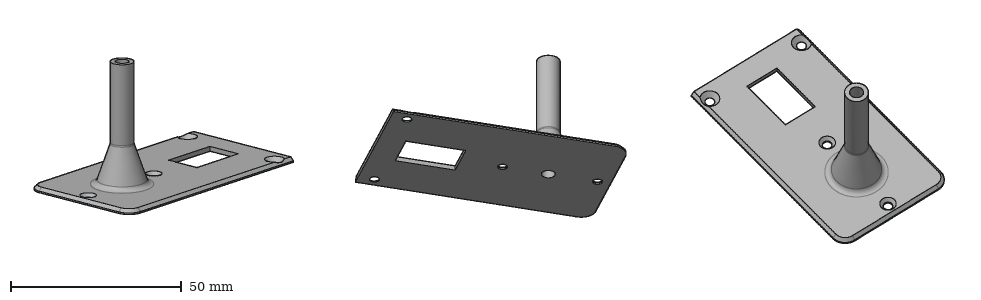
import cadquery as cq
import math

PLATE_WIDTH = 40.0
PLATE_LENGTH = 72.0
PLATE_THICKNESS = 1.5
CORNER_RADIUS = 4.5
EDGE_CHAMFER = 1.0
FRONT_Y = -PLATE_LENGTH / 2
BACK_Y = PLATE_LENGTH / 2

WINDOW_WIDTH = 11.0
WINDOW_LENGTH = 18.2
WINDOW_BACK_MARGIN = 8.0

TOTAL_HEIGHT = 39.0
POST_DIAMETER = 7.0
BORE_DIAMETER = 4.0
POST_Y = FRONT_Y + 19.0
FOOT_DIAMETER = 15.7
FOOT_HEIGHT = 12.5
FOOT_FILLET = 2.0
NECK_FILLET = 1.4

SCREW_DIAMETER = 2.8
CENTRE_SINK_DIAMETER = 4.8
CENTRE_HOLE_YS = (FRONT_Y + 4.0, FRONT_Y + 33.0)
CORNER_SINK_DIAMETER = 5.8
CORNER_HOLE_X = PLATE_WIDTH / 2 - 3.0
CORNER_HOLE_Y = BACK_Y - 5.0
SINK_ANGLE = 90


def make_plate():
    """Plate with the top edge chamfered on every side except the back."""
    plate = (
        cq.Workplane("XY")
        .box(PLATE_WIDTH, PLATE_LENGTH, PLATE_THICKNESS, centered=(True, True, False))
        .edges("|Z and <Y")
        .fillet(CORNER_RADIUS)
    )
    return plate.faces(">Z").edges("not >Y").chamfer(EDGE_CHAMFER)


def make_post():
    """Revolved post, with fillets where the foot meets the plate and the post."""
    post_radius = POST_DIAMETER / 2
    neck_z = PLATE_THICKNESS + FOOT_HEIGHT
    skirt_radius = FOOT_DIAMETER / 2 + FOOT_FILLET
    body = (
        cq.Workplane("XZ")
        .lineTo(skirt_radius, 0)
        .lineTo(skirt_radius, PLATE_THICKNESS)
        .lineTo(FOOT_DIAMETER / 2, PLATE_THICKNESS)
        .lineTo(post_radius, neck_z)
        .lineTo(post_radius, TOTAL_HEIGHT)
        .lineTo(0, TOTAL_HEIGHT)
        .close()
        .revolve(360, (0, 0, 0), (0, 1, 0))
    )
    circles = body.edges("%CIRCLE")
    neck_circle = [e for e in circles.vals() if math.isclose(e.Center().z, neck_z)]
    foot_circle = [e for e in circles.vals() if math.isclose(e.radius(), FOOT_DIAMETER / 2)]
    body = body.newObject(neck_circle).fillet(NECK_FILLET)
    body = body.newObject(foot_circle).fillet(FOOT_FILLET)
    return body.translate((0, POST_Y, 0))


def cut_screw_holes(body, positions, sink_diameter):
    """Countersunk holes through the plate, sunk from its top face."""
    sink_depth = (sink_diameter - SCREW_DIAMETER) / 2 / math.tan(math.radians(SINK_ANGLE / 2))
    hole = cq.Workplane("XY").circle(SCREW_DIAMETER / 2).extrude(PLATE_THICKNESS)
    sink = cq.Solid.makeCone(
        SCREW_DIAMETER / 2,
        sink_diameter / 2,
        sink_depth,
        pnt=cq.Vector(0, 0, PLATE_THICKNESS - sink_depth),
    )
    cutter = hole.union(cq.Workplane(sink))
    for x, y in positions:
        body = body.cut(cutter.translate((x, y, 0)))
    return body


def cut_window(body):
    window_y = BACK_Y - WINDOW_BACK_MARGIN - WINDOW_LENGTH / 2
    window = cq.Workplane("XY").center(0, window_y).rect(WINDOW_WIDTH, WINDOW_LENGTH)
    return body.cut(window.extrude(PLATE_THICKNESS))


def cut_bore(body):
    bore = cq.Workplane("XY").center(0, POST_Y).circle(BORE_DIAMETER / 2)
    return body.cut(bore.extrude(TOTAL_HEIGHT))


result = make_plate().union(make_post())
result = cut_window(result)
result = cut_bore(result)
result = cut_screw_holes(result, [(0, y) for y in CENTRE_HOLE_YS], CENTRE_SINK_DIAMETER)
result = cut_screw_holes(
    result,
    [(side * CORNER_HOLE_X, CORNER_HOLE_Y) for side in (-1, 1)],
    CORNER_SINK_DIAMETER,
)